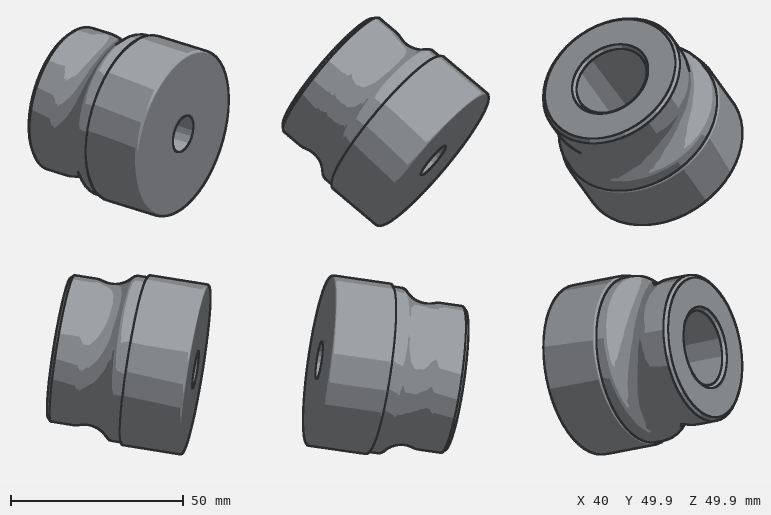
import cadquery as cq
import math


total_length = 40.0
head_start = 22.1
groove_center_x = 11.8
bore_depth = 29.95

head_radius = 24.95
collar_radius = 24.25
nose_radius = 21.5
bore_radius = 11.0
through_hole_radius = 5.5

chamfer = 1.0
head_front_fillet = 0.5
head_rear_fillet = 0.75

shoulder_angle = math.radians(60)

groove_arc_radius = 8.0
nose_blend_radius = 6.0
collar_blend_radius = 2.0
groove_bottom_radius = 20.75
groove_exit_angle = math.radians(45)


def arc_point(center, radius, angle):
    """Point on a circle, with the angle measured from the +X direction."""
    return (center[0] + radius * math.cos(angle), center[1] + radius * math.sin(angle))


groove_center = (groove_center_x, groove_bottom_radius + groove_arc_radius)
nose_blend_center_r = nose_radius - nose_blend_radius
center_distance = groove_arc_radius + nose_blend_radius
center_rise = groove_center[1] - nose_blend_center_r
nose_blend_angle = math.acos(center_rise / center_distance)
nose_blend_center = (
    groove_center_x - center_distance * math.sin(nose_blend_angle),
    nose_blend_center_r,
)

down = -math.pi / 2
up = math.pi / 2
nose_blend_start = arc_point(nose_blend_center, nose_blend_radius, up)
nose_blend_mid = arc_point(nose_blend_center, nose_blend_radius, up - nose_blend_angle / 2)
groove_start = arc_point(nose_blend_center, nose_blend_radius, up - nose_blend_angle)
groove_bottom = arc_point(groove_center, groove_arc_radius, down)
groove_end = arc_point(groove_center, groove_arc_radius, down + groove_exit_angle)

cone_end_r = collar_radius - collar_blend_radius * (1 - math.cos(groove_exit_angle))
cone_end_x = groove_end[0] + (cone_end_r - groove_end[1]) / math.tan(groove_exit_angle)
collar_blend_center = (
    cone_end_x + collar_blend_radius * math.sin(groove_exit_angle),
    collar_radius - collar_blend_radius,
)
collar_blend_mid = arc_point(collar_blend_center, collar_blend_radius, up + groove_exit_angle / 2)
collar_blend_end = arc_point(collar_blend_center, collar_blend_radius, up)

shoulder_end_r = head_radius - head_front_fillet * (1 - math.cos(shoulder_angle))
shoulder_end_x = head_start + (shoulder_end_r - collar_radius) / math.tan(shoulder_angle)
front_fillet_center = (
    shoulder_end_x + head_front_fillet * math.sin(shoulder_angle),
    head_radius - head_front_fillet,
)
front_fillet_mid = arc_point(front_fillet_center, head_front_fillet, up + shoulder_angle / 2)
front_fillet_end = arc_point(front_fillet_center, head_front_fillet, up)

rear_fillet_center = (total_length - head_rear_fillet, head_radius - head_rear_fillet)
rear_fillet_mid = arc_point(rear_fillet_center, head_rear_fillet, up / 2)

outer_profile = (
    cq.Workplane("XY")
    .moveTo(0, 0)
    .lineTo(0, nose_radius - chamfer)
    .lineTo(chamfer, nose_radius)
    .lineTo(*nose_blend_start)
    .threePointArc(nose_blend_mid, groove_start)
    .threePointArc(groove_bottom, groove_end)
    .lineTo(cone_end_x, cone_end_r)
    .threePointArc(collar_blend_mid, collar_blend_end)
    .lineTo(head_start, collar_radius)
    .lineTo(shoulder_end_x, shoulder_end_r)
    .threePointArc(front_fillet_mid, front_fillet_end)
    .lineTo(total_length - head_rear_fillet, head_radius)
    .threePointArc(rear_fillet_mid, (total_length, head_radius - head_rear_fillet))
    .lineTo(total_length, 0)
    .close()
)

bore_profile = (
    cq.Workplane("XY")
    .moveTo(0, 0)
    .lineTo(0, bore_radius + chamfer)
    .lineTo(chamfer, bore_radius)
    .lineTo(bore_depth, bore_radius)
    .lineTo(bore_depth, through_hole_radius + chamfer)
    .lineTo(bore_depth + chamfer, through_hole_radius)
    .lineTo(total_length, through_hole_radius)
    .lineTo(total_length, 0)
    .close()
)


def turn(profile):
    """Revolve a half profile fully about the X axis."""
    return profile.revolve(360, (0, 0, 0), (1, 0, 0))


result = turn(outer_profile).cut(turn(bore_profile))